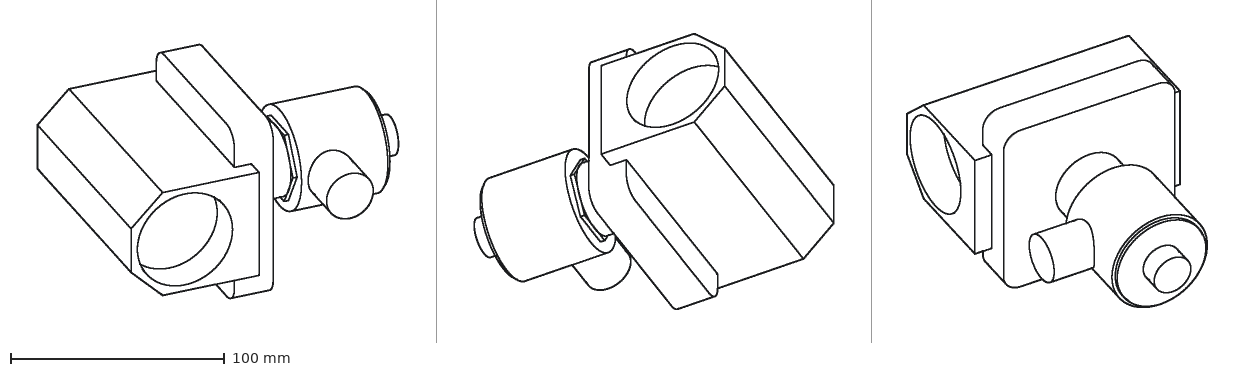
import cadquery as cq


block_length = 110.0
block_depth = 65.2
block_height = 55.0
bevel_depth = 16.0
narrow_face_height = 23.4

port_diameter = 48.5
port_center_y = 27.5
port_depth = 18.0

bonnet_side = 92.0
bonnet_corner_radius = 9.0
bonnet_front_y = 56.7
bonnet_back_y = 76.5

stem_diameter = 36.0
nut_across_corners = 40.7
coil_diameter = 51.2
cap_diameter = 47.6
knob_diameter = 19.7
stem_end_y = 97.5
nut_end_y = 99.7
coil_end_y = 143.7
cap_end_y = 145.6
knob_end_y = 156.0

outlet_diameter = 23.9
outlet_center_y = 115.0
outlet_end_x = 47.1


def plane_at_y(y):
    """Plane facing +Y at the given height along the solenoid axis."""
    return cq.Workplane(cq.Plane(origin=(0, y, 0), xDir=(1, 0, 0), normal=(0, 1, 0)))


def plane_at_x(x):
    """Plane facing +X, with local axes along Y and Z."""
    return cq.Workplane("YZ", origin=(x, 0, 0))


def cylinder_along_y(diameter, start_y, end_y):
    return plane_at_y(start_y).circle(diameter / 2).extrude(end_y - start_y)


def make_block():
    half_height = block_height / 2
    half_narrow = narrow_face_height / 2
    outline = [
        (0, -half_narrow),
        (bevel_depth, -half_height),
        (block_depth, -half_height),
        (block_depth, half_height),
        (bevel_depth, half_height),
        (0, half_narrow),
    ]
    return plane_at_x(-block_length / 2).polyline(outline).close().extrude(block_length)


def make_bonnet():
    return (
        plane_at_y(bonnet_front_y)
        .rect(bonnet_side, bonnet_side)
        .extrude(bonnet_back_y - bonnet_front_y)
        .edges("|Y")
        .fillet(bonnet_corner_radius)
    )


def make_valve_body():
    body = make_block().union(make_bonnet())
    for port_start_x in (-block_length / 2, block_length / 2 - port_depth):
        port = (
            plane_at_x(port_start_x)
            .center(port_center_y, 0)
            .circle(port_diameter / 2)
            .extrude(port_depth)
        )
        body = body.cut(port)
    return body


def make_solenoid():
    stem = cylinder_along_y(stem_diameter, bonnet_back_y, stem_end_y)
    nut = plane_at_y(stem_end_y).polygon(6, nut_across_corners).extrude(nut_end_y - stem_end_y)
    coil = cylinder_along_y(coil_diameter, nut_end_y, coil_end_y)
    cap = cylinder_along_y(cap_diameter, coil_end_y, cap_end_y)
    knob = cylinder_along_y(knob_diameter, cap_end_y, knob_end_y)
    outlet = (
        plane_at_x(0)
        .center(outlet_center_y, 0)
        .circle(outlet_diameter / 2)
        .extrude(outlet_end_x)
    )
    return stem.union(nut).union(coil).union(cap).union(knob).union(outlet)


valve_body = make_valve_body()
solenoid = make_solenoid()

result = cq.Compound.makeCompound([valve_body.val(), solenoid.val()])